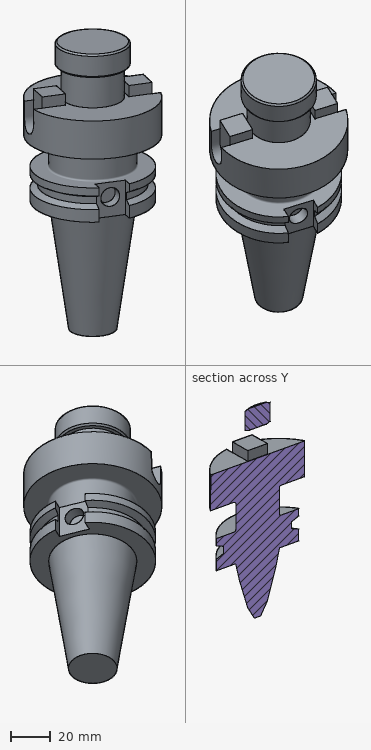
import cadquery as cq

taper_top = 68.5
flange_bottom = 68.9
flange_top = 87.5
collar_bottom = 104.2
collar_top = 124.7
pilot_top = 141.9
overall_height = 154.5

taper_small_diameter = 24.5
neck_diameter = 44.5
flange_diameter = 63.5
groove_diameter = 56.0
collar_diameter = 69.8
pilot_diameter = 32.0
neck_fillet = 1.0

groove_center = 79.5
groove_mouth_width = 7.4
groove_floor_width = 3.9

notch_width = 16.2
notch_floor_distance = 25.0
notch_hole_diameter = 10.0
notch_hole_depth = 6.2
notch_hole_height = groove_center

key_width = 12.7
key_length = 12.5
key_inner_distance = 17.2
key_top = 130.7
key_bottom = 109.5

head_diameter = 38.0
head_chamfer = 1.0


def make_turned_body():
    """Taper, grooved flange, neck, collar and pilot revolved about Z."""
    neck_radius = neck_diameter / 2
    flange_radius = flange_diameter / 2
    groove_radius = groove_diameter / 2
    collar_radius = collar_diameter / 2
    pilot_radius = pilot_diameter / 2
    profile = (
        cq.Workplane("XZ")
        .moveTo(0, 0)
        .lineTo(taper_small_diameter / 2, 0)
        .lineTo(neck_radius, taper_top)
        .lineTo(neck_radius, flange_bottom)
        .lineTo(flange_radius, flange_bottom)
        .lineTo(flange_radius, groove_center - groove_mouth_width / 2)
        .lineTo(groove_radius, groove_center - groove_floor_width / 2)
        .lineTo(groove_radius, groove_center + groove_floor_width / 2)
        .lineTo(flange_radius, groove_center + groove_mouth_width / 2)
        .lineTo(flange_radius, flange_top)
        .lineTo(neck_radius + neck_fillet, flange_top)
        .radiusArc((neck_radius, flange_top + neck_fillet), neck_fillet)
        .lineTo(neck_radius, collar_bottom - neck_fillet)
        .radiusArc((neck_radius + neck_fillet, collar_bottom), neck_fillet)
        .lineTo(collar_radius, collar_bottom)
        .lineTo(collar_radius, collar_top)
        .lineTo(pilot_radius, collar_top)
        .lineTo(pilot_radius, pilot_top)
        .lineTo(0, pilot_top)
        .close()
    )
    return profile.revolve(360, (0, 0, 0), (0, 1, 0))


def make_key_shape(side, outer_distance, top):
    """Round-bottomed bar from the key's inner face to outer_distance, on the +Y (1) or -Y (-1) side."""
    half_width = key_width / 2
    arc_center_height = key_bottom + half_width
    plane = cq.Plane(origin=(0, side * key_inner_distance, 0), xDir=(1, 0, 0), normal=(0, side, 0))
    up = -side
    return (
        cq.Workplane(plane)
        .moveTo(-half_width, up * top)
        .lineTo(-half_width, up * arc_center_height)
        .threePointArc((0, up * key_bottom), (half_width, up * arc_center_height))
        .lineTo(half_width, up * top)
        .close()
        .extrude(outer_distance - key_inner_distance)
    )


def make_notch(side):
    """Cutter for a flange notch and its blind hole, on the +X (1) or -X (-1) side."""
    notch_depth = flange_diameter / 2 - notch_floor_distance
    slot = cq.Workplane("XY").box(notch_depth, notch_width, flange_top - flange_bottom).translate(
        (side * (notch_floor_distance + notch_depth / 2), 0, (flange_bottom + flange_top) / 2)
    )
    floor_plane = cq.Plane(
        origin=(side * notch_floor_distance, 0, notch_hole_height), xDir=(0, 1, 0), normal=(-side, 0, 0)
    )
    hole = cq.Workplane(floor_plane).circle(notch_hole_diameter / 2).extrude(notch_hole_depth)
    return slot.union(hole)


def make_holder():
    """Turned body with the flange notches and key slots cut out."""
    body = make_turned_body()
    for side in (-1, 1):
        body = body.cut(make_notch(side))
        body = body.cut(make_key_shape(side, collar_diameter / 2, collar_top))
    return body


def make_key(side):
    """Drive key seated at the inner end of its slot and standing above the collar."""
    return make_key_shape(side, key_inner_distance + key_length, key_top)


def make_screw_head():
    """Chamfered clamping head seated on the end of the pilot."""
    return (
        cq.Workplane("XY", origin=(0, 0, pilot_top))
        .circle(head_diameter / 2)
        .extrude(overall_height - pilot_top)
        .faces("<Z or >Z")
        .edges()
        .chamfer(head_chamfer)
    )


holder = make_holder()
keys = [make_key(side) for side in (-1, 1)]
screw_head = make_screw_head()

result = cq.Compound.makeCompound([holder.val(), *[key.val() for key in keys], screw_head.val()])